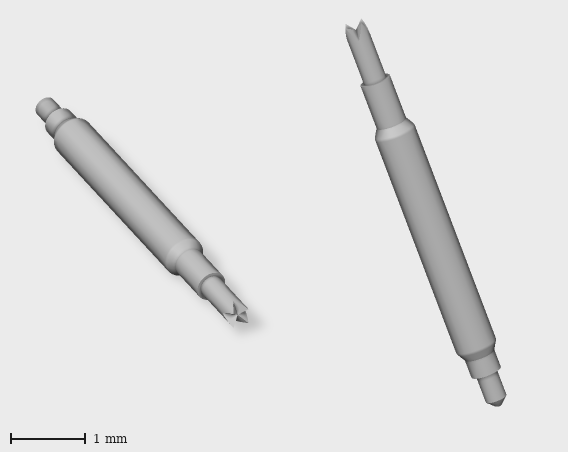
import cadquery as cq
import math

length = 5.69

body_radius = 0.285
sleeve_radius = 0.21
rear_pin_radius = 0.15
rear_tip_radius = 0.055
front_pin_radius = 0.16

rear_end = -length / 2
front_end = length / 2
dome_radius = rear_tip_radius * math.sqrt(2)
dome_height = dome_radius - rear_tip_radius
cone_length = rear_pin_radius - rear_tip_radius
cone_start = rear_end + dome_height
rear_sleeve_start = rear_end + 0.505
front_sleeve_end = front_end - 0.85
body_start = rear_end + 0.91
body_end = front_end - 1.63

shoulder_angle = math.radians(30)
shoulder_round = 0.07

crown_depth = 0.095
groove_fall = 0.12


def shoulder_points(edge_x, outward):
    """Body edge, arc middle, arc end and cone foot; outward is -1 (rear) or 1 (front)."""
    def on_arc(angle):
        return (
            edge_x + outward * shoulder_round * math.sin(angle),
            body_radius - shoulder_round * (1 - math.cos(angle)),
        )

    arc_end = on_arc(shoulder_angle)
    cone_run = (arc_end[1] - sleeve_radius) / math.tan(shoulder_angle)
    cone_foot = (arc_end[0] + outward * cone_run, sleeve_radius)
    return (edge_x, body_radius), on_arc(shoulder_angle / 2), arc_end, cone_foot


def turned_probe():
    half_dome_angle = math.radians(45) / 2
    dome_middle = (
        rear_end + dome_radius * (1 - math.cos(half_dome_angle)),
        dome_radius * math.sin(half_dome_angle),
    )
    rear_edge, rear_mid, rear_arc_end, rear_foot = shoulder_points(body_start, -1)
    front_edge, front_mid, front_arc_end, front_foot = shoulder_points(body_end, 1)
    return (
        cq.Workplane("XY")
        .moveTo(rear_end, 0)
        .threePointArc(dome_middle, (cone_start, rear_tip_radius))
        .lineTo(cone_start + cone_length, rear_pin_radius)
        .lineTo(rear_sleeve_start, rear_pin_radius)
        .lineTo(rear_sleeve_start, sleeve_radius)
        .lineTo(*rear_foot)
        .lineTo(*rear_arc_end)
        .threePointArc(rear_mid, rear_edge)
        .lineTo(*front_edge)
        .threePointArc(front_mid, front_arc_end)
        .lineTo(*front_foot)
        .lineTo(front_sleeve_end, sleeve_radius)
        .lineTo(front_sleeve_end, front_pin_radius)
        .lineTo(front_end, front_pin_radius)
        .lineTo(front_end, 0)
        .close()
        .revolve(360, (0, 0, 0), (1, 0, 0))
    )


def groove_cutter():
    """V wedge along Y, its floor tilted about the central peak to fall towards +Y."""
    floor_slope = groove_fall / front_pin_radius
    tilt = math.atan(floor_slope)
    tooth_offset = front_pin_radius / math.sqrt(2)
    wall_slope = (crown_depth / tooth_offset + floor_slope) * math.cos(tilt)
    half_width = 2 * front_pin_radius
    half_length = 4 * front_pin_radius
    peak_x = front_end - crown_depth
    top_x = peak_x + wall_slope * half_width
    return (
        cq.Workplane("XZ")
        .polyline([(peak_x, 0), (top_x, half_width), (top_x, -half_width)])
        .close()
        .extrude(half_length, both=True)
        .rotate((peak_x, 0, 0), (peak_x, 0, 1), math.degrees(tilt))
    )


result = turned_probe()
for quarter in range(4):
    result = result.cut(groove_cutter().rotate((0, 0, 0), (1, 0, 0), 90 * quarter))